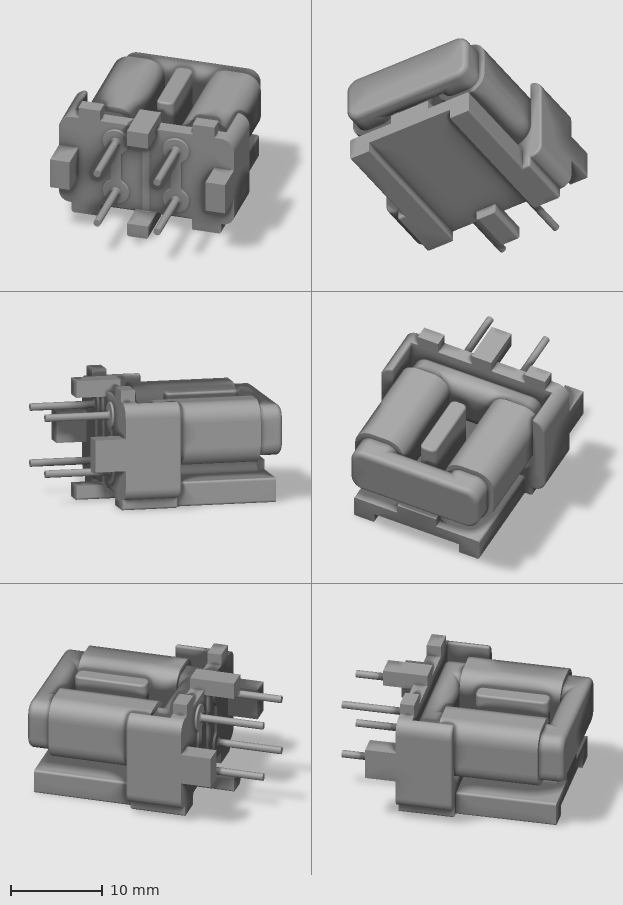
import cadquery as cq


pick_margin = 0.03

base_width = 19.9
base_top = 11.9
base_bottom = 1.23
plate_depth = 1.6
wall_depth = 6.25
top_corner_radius = 1.49
bottom_corner_radius = 1.25
pocket_half_width = 8.48
pocket_corner_radius = 2.05
floor_top = 3.82
edge_radius = 0.25

leg_inner = 5.18
leg_outer = 8.48
notch_corner_radius = 0.3
rail_outer = 7.65
rail_top = 2.72
floor_depth = 17.43
cradle_start = wall_depth - 2 * edge_radius
cradle_end = 16.53
rib_half_width = 2.35
cradle_radius = floor_top - rail_top

divider_width = 1.95
divider_front = 6.8
divider_back = 14.92
divider_top = 11.33
divider_corner_radius = 0.65

total_height = 13.17
tab_inner = 5.25
tab_outer = 7.75
foot_reach = 3.38
middle_foot_width = 2.4
upper_foot_bottom = 11.33
lower_foot_top = 1.56
side_foot_width = 2.23
side_foot_top = 8.18
left_foot_bottom = 4.72
right_foot_bottom = 4.65

relief_height = 0.25
relief_edge_radius = 0.1
front_rib_width = 0.87
flare_chamfer = 0.08
pin_x = 3.4
pin_low_z = 3.45
pin_high_z = 9.65
pin_radius = 0.4
pin_reach = 7.43
collar_radius = 0.6
collar_height = 0.15
pad_radius = 1.5
pad_bar_width = 1.23
pad_blend_radius = 0.5

core_width = 15.48
core_front = 1.7
core_back = 18.2
core_bottom = 5.05
core_top = 10.65
core_edge_radius = 1.49
core_end_radius = 0.6
window_width = 6.2
winding_front = 4.3
winding_back = 15.53
winding_inner = 2.5
winding_outer = 8.4
winding_bottom = 4.43
winding_top = 11.33
winding_radius = 2.0


def block(x_range, y_range, z_range):
    """Box between the given limits."""
    corner = (x_range[0], y_range[0], z_range[0])
    size = [high - low for low, high in (x_range, y_range, z_range)]
    return cq.Workplane("XY").box(*size, centered=False).translate(corner)


def front_plane(y):
    """Plane parallel to the front face; extruding by a positive length goes towards -Y."""
    return cq.Workplane("XZ", origin=(0, y, 0))


def mirrored(shape):
    """The shape together with its mirror image across X = 0."""
    return shape.union(shape.mirror("YZ"))


def make_walls():
    """Plate, side walls and legs, hollowed from behind by the pocket for the core."""
    half_width = base_width / 2
    depth = (0, wall_depth)
    shell = block((-half_width, half_width), depth, (base_bottom, base_top))
    shell = shell.edges("|Y and >Z").fillet(top_corner_radius)
    shell = shell.edges("|Y and <Z").fillet(bottom_corner_radius)

    leg = block((leg_inner, leg_outer), depth, (0, base_bottom + bottom_corner_radius))
    shell = shell.union(mirrored(leg.edges("|Y and <Z and >X").fillet(edge_radius)))

    pocket = block(
        (-pocket_half_width, pocket_half_width),
        (plate_depth, wall_depth),
        (floor_top, total_height),
    )
    shell = shell.cut(pocket.edges("|Y and <Z").fillet(pocket_corner_radius))
    for side in (-1, 1):
        inner_rim = (side * pocket_half_width, (plate_depth + wall_depth) / 2, base_top)
        shell = shell.edges(cq.selectors.NearestToPointSelector(inner_rim)).fillet(edge_radius)
    shell = shell.faces(">Y").edges().fillet(edge_radius)

    left_corner = cq.selectors.NearestToPointSelector((-leg_inner, wall_depth / 2, base_bottom))
    shell = shell.edges(left_corner).fillet(notch_corner_radius)
    notch_front = cq.selectors.BoxSelector(
        (-leg_inner - pick_margin, -pick_margin, 0),
        (leg_inner - pick_margin, pick_margin, base_bottom + pick_margin),
    )
    return shell.faces("<Y").edges(notch_front).fillet(edge_radius)


def make_floor():
    """Rails, floor and the central rib that swells into a cradle under the windings."""
    depth = (cradle_start, floor_depth)
    rail = block((leg_inner, rail_outer), depth, (0, rail_top))
    rail = rail.edges("|Y and >X").fillet(edge_radius)
    slab = block((-leg_inner, leg_inner), depth, (base_bottom, rail_top))
    rib = block((-rib_half_width, rib_half_width), depth, (rail_top, floor_top))
    cradle = (
        front_plane(cradle_start)
        .moveTo(rib_half_width, rail_top)
        .lineTo(rib_half_width + cradle_radius, rail_top)
        .radiusArc((rib_half_width, floor_top), cradle_radius)
        .close()
        .extrude(cradle_start - cradle_end)
    )
    return mirrored(rail).union(slab).union(rib).union(mirrored(cradle))


def make_divider():
    """Upright bar that separates the two windings."""
    divider = block(
        (-divider_width / 2, divider_width / 2),
        (divider_front, divider_back),
        (floor_top, divider_top),
    )
    return divider.edges("|Z").fillet(divider_corner_radius).faces(">Z").edges().fillet(edge_radius)


def make_tabs():
    """Two tabs on top of the plate."""
    return mirrored(block((tab_inner, tab_outer), (0, plate_depth), (base_top, total_height)))


def make_feet():
    """Upper, lower and two side feet in front of the plate."""
    half_width = base_width / 2
    middle = (-middle_foot_width / 2, middle_foot_width / 2)
    upper = block(middle, (-foot_reach, plate_depth), (upper_foot_bottom, total_height))
    lower = block(middle, (-foot_reach, plate_depth), (0, lower_foot_top))
    lower = lower.edges("|Y and <Z").fillet(edge_radius)
    left = block(
        (-half_width, side_foot_width - half_width),
        (-foot_reach, 0),
        (left_foot_bottom, side_foot_top),
    )
    right = block(
        (half_width - side_foot_width, half_width),
        (-foot_reach, 0),
        (right_foot_bottom, side_foot_top),
    )
    return upper.union(lower).union(left).union(right)


def make_front_rib():
    """Shallow rib that joins the upper and lower feet, flaring slightly where it meets them."""
    rib = block(
        (-front_rib_width / 2, front_rib_width / 2),
        (-relief_height, 0),
        (lower_foot_top, upper_foot_bottom),
    )
    rib = rib.edges("|Z and <Y").fillet(relief_edge_radius)
    flare = block(
        (-front_rib_width / 2 - relief_edge_radius, front_rib_width / 2 + relief_edge_radius),
        (-relief_height - relief_edge_radius, 0),
        (0, relief_edge_radius),
    )
    lower_flare = flare.faces(">Z").edges("not >Y").chamfer(flare_chamfer)
    upper_flare = lower_flare.mirror("XY").translate((0, 0, upper_foot_bottom))
    return rib.union(lower_flare.translate((0, 0, lower_foot_top))).union(upper_flare)


def make_pin(x, z):
    """Round pin with a conical collar at its root."""
    collar_tip = relief_height + collar_height
    return (
        cq.Workplane("XY")
        .polyline([
            (0, 0),
            (collar_radius, 0),
            (collar_radius, -relief_height),
            (pin_radius, -collar_tip),
            (pin_radius, -pin_reach),
            (0, -pin_reach),
        ])
        .close()
        .revolve(360, (0, 0, 0), (0, 1, 0))
        .translate((x, 0, z))
    )


def make_pin_pair(x):
    """Dumbbell-shaped pad carrying two pins one above the other."""
    heights = (pin_low_z, pin_high_z)
    pad = block(
        (x - pad_bar_width / 2, x + pad_bar_width / 2),
        (-relief_height, 0),
        heights,
    )
    for z in heights:
        pad = pad.union(front_plane(0).center(x, z).circle(pad_radius).extrude(relief_height))
    bar_corners = cq.selectors.BoxSelector(
        (x - pad_radius, -relief_height, pin_low_z + pad_bar_width),
        (x + pad_radius, 0, pin_high_z - pad_bar_width),
    )
    pad = pad.edges(bar_corners).edges("|Y").fillet(pad_blend_radius)
    pad = pad.faces("<Y").edges().fillet(relief_edge_radius)
    for z in heights:
        pad = pad.union(make_pin(x, z))
    return pad


def make_base():
    """Moulded base with its pins."""
    base = make_walls().union(make_floor()).union(make_divider())
    base = base.union(make_tabs()).union(make_feet()).union(make_front_rib())
    for x in (-pin_x, pin_x):
        base = base.union(make_pin_pair(x))
    return base


def make_core():
    """Rectangular ring core with rounded outer edges and a rounded window."""
    half_width = core_width / 2
    core = block((-half_width, half_width), (core_front, core_back), (core_bottom, core_top))
    core = core.edges("|Y").fillet(core_edge_radius)
    core = core.faces("<Y or >Y").edges().fillet(core_end_radius)
    half_window = window_width / 2
    core = core.cut(block(
        (-half_window, half_window),
        (winding_front, winding_back),
        (core_bottom, core_top),
    ))
    window_edges = cq.selectors.BoxSelector(
        (-half_window - pick_margin, winding_front - pick_margin, core_bottom - pick_margin),
        (half_window + pick_margin, winding_back + pick_margin, core_top + pick_margin),
    )
    return core.faces("<Z or >Z").edges(window_edges).fillet(core_edge_radius)


def make_winding():
    """Winding around the right leg of the core."""
    winding = block(
        (winding_inner, winding_outer),
        (winding_front, winding_back),
        (winding_bottom, winding_top),
    )
    return winding.edges("|Y").fillet(winding_radius)


def make_wound_core():
    """Core with one winding on each leg."""
    return make_core().union(mirrored(make_winding()))


base = make_base()
wound_core = make_wound_core()

result = cq.Compound.makeCompound([base.solids().val(), wound_core.solids().val()])